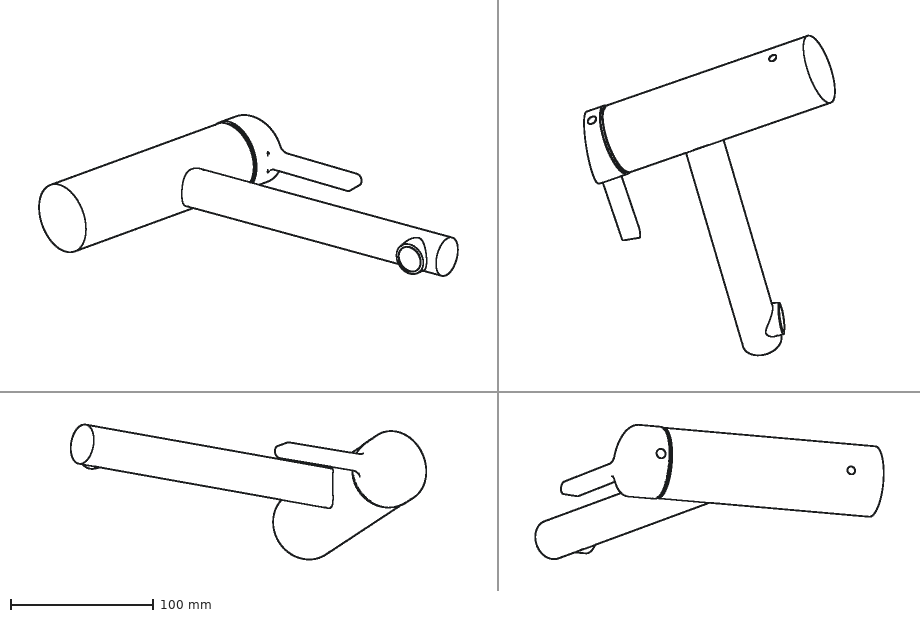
import cadquery as cq
import math

overall_length = 257.7

body_radius = 25.0
body_height = 158.5
body_top_chamfer = 0.8

head_radius = 25.5
head_bottom = 160.0
head_top_at_axis = 178.5

neck_radius = 24.0
neck_overlap = 2.5

lever_slope = math.radians(13.3)
lever_end_x = 92.0
lever_width = 12.5
lever_thickness = 9.3
lever_root_fillet = 6.5
handle_edge_fillet = 0.8

spout_angle = 15
spout_slope = math.radians(spout_angle)
spout_diameter = 28.0
spout_radius = spout_diameter / 2
spout_axis_height = 98.0
tip_corner_x = overall_length - head_radius
spout_length = (tip_corner_x - spout_radius * math.sin(spout_slope)) / math.cos(spout_slope)

nozzle_rim_radius = 11.3
nozzle_taper = 5
nozzle_reach = 17.8
nozzle_root_radius = nozzle_rim_radius + nozzle_reach * math.tan(math.radians(nozzle_taper))
nozzle_from_tip = 19.5
outlet_radius = 9.3
outlet_height = 0.5

recess_depth = 0.5
body_recess_radius = 2.8
body_recess_height = 24.2
head_recess_radius = 3.3
head_recess_height = 166.2


def column(radius, bottom, top):
    """Round column on the Y axis between two heights."""
    return cq.Workplane("XZ", origin=(0, bottom, 0)).circle(radius).extrude(bottom - top)


def top_plane_height(x):
    """Height of the sloping top plane shared by the head and the lever."""
    return head_top_at_axis + x * math.tan(lever_slope)


def block_under_top_plane(x_start, x_end, bottom_start, bottom_end):
    """Block as deep as the head, from a straight underside up to the sloping top plane."""
    return (
        cq.Workplane("XY")
        .moveTo(x_start, bottom_start)
        .lineTo(x_end, bottom_end)
        .lineTo(x_end, top_plane_height(x_end))
        .lineTo(x_start, top_plane_height(x_start))
        .close()
        .extrude(head_radius, both=True)
    )


def make_body():
    body = column(body_radius, 0, body_height).faces(">Y").edges().chamfer(body_top_chamfer)
    return body.union(column(neck_radius, body_height - neck_overlap, head_bottom + neck_overlap))


def make_head():
    block = block_under_top_plane(-head_radius, head_radius, head_bottom, head_bottom)
    return column(head_radius, head_bottom, top_plane_height(head_radius)).intersect(block)


def make_lever():
    """Bar with round ends, running up the slope from inside the head."""
    slope_length = lever_end_x / math.cos(lever_slope)
    bar = (
        cq.Workplane("XZ", origin=(slope_length / 2, 0, 0))
        .slot2D(slope_length, lever_thickness)
        .extrude(lever_width)
    )
    bar = bar.rotate((0, 0, 0), (0, 0, 1), math.degrees(lever_slope))
    return bar.translate((0, head_top_at_axis, 0))


def make_lever_root():
    """Flare that blends both sides of the lever into the round head."""
    half = lever_thickness / 2
    centre_distance = head_radius + lever_root_fillet
    centre_z = half + lever_root_fillet
    centre_x = math.sqrt(centre_distance**2 - centre_z**2)
    touch_x = centre_x * head_radius / centre_distance
    touch_z = centre_z * head_radius / centre_distance
    head_end_angle = math.atan2(touch_z - centre_z, touch_x - centre_x)
    lever_end_angle = -math.pi / 2
    middle_angle = (head_end_angle + lever_end_angle) / 2
    middle_x = centre_x + lever_root_fillet * math.cos(middle_angle)
    middle_z = centre_z + lever_root_fillet * math.sin(middle_angle)
    flare = (
        cq.Workplane("XZ")
        .moveTo(0, -touch_z)
        .lineTo(touch_x, -touch_z)
        .threePointArc((middle_x, -middle_z), (centre_x, -half))
        .lineTo(centre_x, half)
        .threePointArc((middle_x, middle_z), (touch_x, touch_z))
        .lineTo(0, touch_z)
        .close()
        .extrude(-top_plane_height(centre_x))
    )
    lever_drop = lever_width / math.cos(lever_slope)
    lever_band = block_under_top_plane(
        0, centre_x, top_plane_height(0) - lever_drop, top_plane_height(centre_x) - lever_drop
    )
    return flare.intersect(lever_band)


def make_handle():
    """Head and lever joined, with the edges of the sloping top and lever underside rounded."""
    handle = make_head().union(make_lever()).union(make_lever_root()).clean()
    slope_normal = cq.Vector(-math.sin(lever_slope), math.cos(lever_slope), 0)
    sloping_faces = handle.faces(cq.selectors.ParallelDirSelector(slope_normal))
    return sloping_faces.edges().fillet(handle_edge_fillet)


def make_spout():
    """Spout and outlet nozzle, shaped along X, then tilted and raised into place."""
    spout = cq.Workplane("YZ").circle(spout_radius).extrude(spout_length)
    nozzle = (
        cq.Workplane("XZ", origin=(spout_length - nozzle_from_tip, 0, 0))
        .circle(nozzle_root_radius)
        .extrude(nozzle_reach, taper=nozzle_taper)
        .faces("<Y")
        .workplane()
        .circle(outlet_radius)
        .extrude(outlet_height)
    )
    spout = spout.union(nozzle)
    return spout.rotate((0, 0, 0), (0, 0, 1), spout_angle).translate((0, spout_axis_height, 0))


def make_recess(radius, height, column_radius):
    """Cutter for a shallow recess in the -X side of a column."""
    return (
        cq.Workplane("YZ", origin=(-column_radius, height, 0))
        .circle(radius)
        .extrude(recess_depth)
    )


result = (
    make_body()
    .union(make_handle())
    .union(make_spout())
    .cut(make_recess(body_recess_radius, body_recess_height, body_radius))
    .cut(make_recess(head_recess_radius, head_recess_height, head_radius))
)